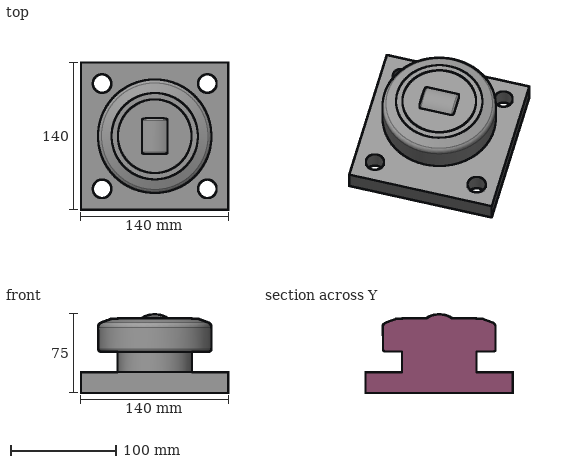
import cadquery as cq
import math

plate_side = 140
plate_height = 20.0
hole_diameter = 17.4
hole_spacing = 100.0

neck_diameter = 71.0
pin_diameter = 70
pin_top = 71.4

roller_radius = 53.9
roller_bottom = 39.2
roller_top = 70.8
face_radius = 41.0
cone_slope = 20
top_fillet = 5.0
bottom_fillet = 3.0

pad_top = 75.0
pad_width = 24.6
pad_length = 34.2
pad_fillet = 2.1


def make_plate():
    return (
        cq.Workplane("XY")
        .rect(plate_side, plate_side)
        .extrude(plate_height)
        .faces(">Z")
        .workplane()
        .rect(hole_spacing, hole_spacing, forConstruction=True)
        .vertices()
        .hole(hole_diameter)
    )


def make_cylinder(diameter, bottom, top):
    return cq.Workplane("XY").workplane(offset=bottom).circle(diameter / 2).extrude(top - bottom)


def make_roller():
    cone_drop = (roller_radius - face_radius) * math.tan(math.radians(cone_slope))
    shoulder = roller_top - cone_drop
    roller = (
        cq.Workplane("XZ")
        .moveTo(0, roller_bottom)
        .lineTo(roller_radius, roller_bottom)
        .lineTo(roller_radius, shoulder)
        .lineTo(face_radius, roller_top)
        .lineTo(0, roller_top)
        .close()
        .revolve(360, (0, 0, 0), (0, 1, 0))
    )
    shoulder_edge = cq.selectors.NearestToPointSelector((0, 0, shoulder))
    roller = roller.edges(shoulder_edge).fillet(top_fillet)
    return roller.faces("<Z").edges("%CIRCLE").fillet(bottom_fillet)


def make_pad():
    rise = pad_top - pin_top
    crown_radius = ((pad_width / 2) ** 2 + rise**2) / (2 * rise)
    return (
        cq.Workplane("XZ")
        .center(0, pad_top - crown_radius)
        .circle(crown_radius)
        .extrude(pad_length / 2, both=True)
        .faces("<Y or >Y")
        .edges("%CIRCLE")
        .fillet(pad_fillet)
    )


neck = make_cylinder(neck_diameter, plate_height, roller_bottom)
pin = make_cylinder(pin_diameter, roller_bottom, pin_top)
result = make_plate().union(neck).union(make_roller()).union(pin).union(make_pad())